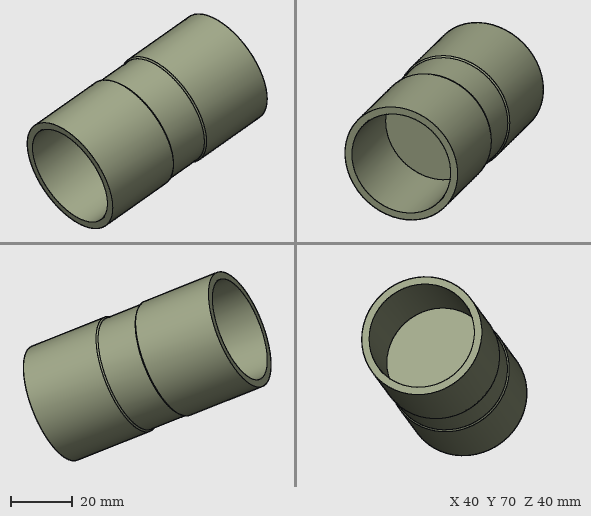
import cadquery as cq

length = 70.0
outer_diameter = 40.0
waist_diameter = 39.0
bore_diameter = 35.0
waist_length = 15.0
waist_taper_length = 0.5
web_thickness = waist_length

outer_radius = outer_diameter / 2
waist_radius = waist_diameter / 2
half_length = length / 2
waist_end = waist_length / 2
waist_flat_end = waist_end - waist_taper_length
socket_depth = (length - web_thickness) / 2


def make_body():
    """Solid of revolution about Y with a tapered-edge waist at mid-length."""
    return (
        cq.Workplane("XY")
        .moveTo(0, -half_length)
        .lineTo(outer_radius, -half_length)
        .lineTo(outer_radius, -waist_end)
        .lineTo(waist_radius, -waist_flat_end)
        .lineTo(waist_radius, waist_flat_end)
        .lineTo(outer_radius, waist_end)
        .lineTo(outer_radius, half_length)
        .lineTo(0, half_length)
        .close()
        .revolve(360, (0, 0, 0), (0, 1, 0))
    )


def cut_socket(body, end_face):
    """Blind round socket sunk into one end of the body."""
    return body.faces(end_face).workplane(centerOption="CenterOfMass").hole(bore_diameter, socket_depth)


result = make_body()
for end in ("<Y", ">Y"):
    result = cut_socket(result, end)